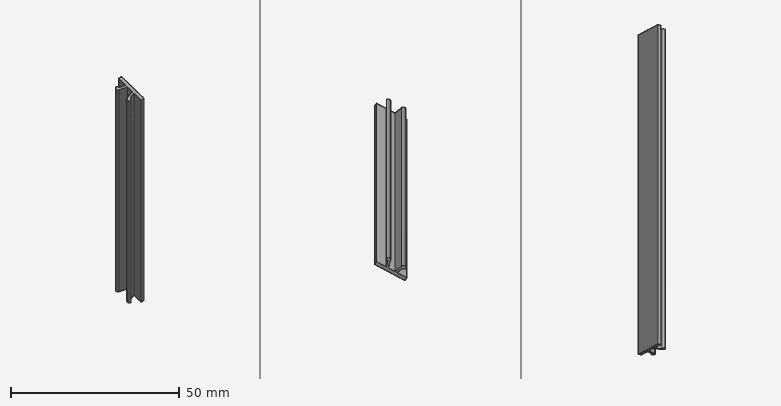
import cadquery as cq
import math

length = 101.5
width = 10.5
depth = 4.2

plate_thickness = 1.1

leg_gap = 2.32
leg_thickness = 0.72
leg_angle = math.radians(16)

bead_radius = 0.55
bead_flat = 0.32
bead_offset = 2.62
neck_fillet = 0.25

back_y = depth / 2
plate_front_y = back_y - plate_thickness
bead_y = -depth / 2 + bead_radius
bead_shoulder_y = bead_y + bead_radius

root_y = back_y - plate_thickness / 2
web_width = leg_thickness / math.cos(leg_angle)


def web_inner_x(y):
    """Distance from the middle plane to a web's inner face at the given Y."""
    return leg_gap / 2 + (plate_front_y - y) * math.tan(leg_angle)


def make_plate():
    """Flat strip running the full length along Z."""
    return (
        cq.Workplane("XY")
        .center(0, back_y - plate_thickness / 2)
        .rect(width, plate_thickness)
        .extrude(length)
    )


def make_leg(side):
    """Slanted web with a bead; side is -1 for the -X leg and +1 for the +X leg."""
    outline = [
        (side * web_inner_x(root_y), root_y),
        (side * (web_inner_x(root_y) + web_width), root_y),
        (side * (web_inner_x(bead_y) + web_width), bead_y),
        (side * web_inner_x(bead_y), bead_y),
    ]
    web = cq.Workplane("XY").polyline(outline).close().extrude(length)
    bead = (
        cq.Workplane("XY")
        .center(side * bead_offset, bead_y)
        .slot2D(bead_flat + 2 * bead_radius, 2 * bead_radius)
        .extrude(length)
    )
    neck = (
        side * (web_inner_x(bead_shoulder_y) + web_width),
        bead_shoulder_y,
        length / 2,
    )
    return (
        web.union(bead)
        .edges(cq.selectors.NearestToPointSelector(neck))
        .fillet(neck_fillet)
    )


result = make_plate()
for leg_side in (-1, 1):
    result = result.union(make_leg(leg_side))